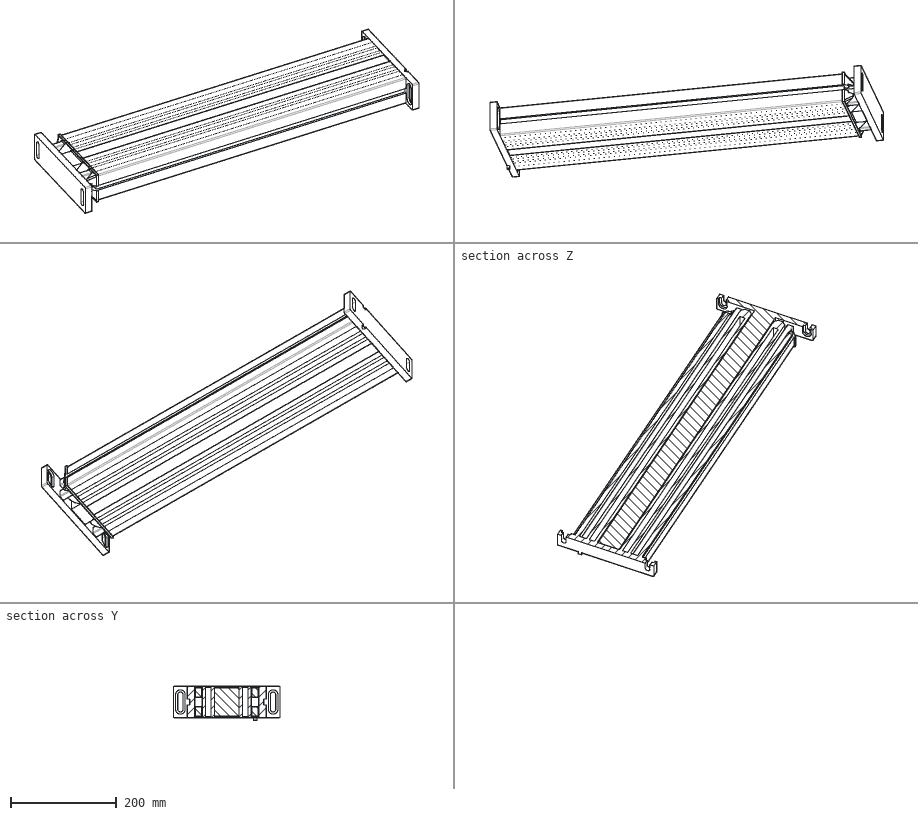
import cadquery as cq

total_length = 720.0
plate_width = 202.0
plate_height = 60.0
plate_thickness = 14.0
edge_radius = 2.0

slot_offset = 88.0
slot_width = 9.0
slot_height = 37.5
recess_margin = 4.0
recess_depth = 4.0

peg_x = 54.0
peg_radius = 3.5
peg_inset = 1.5
peg_length = 5.0
notch_depth = 4.0

sleeve_width = 150.0
sleeve_height = 59.0
collar_width = 153.0
collar_height = 63.0
collar_length = 4.0
collar_front = -322.5
nose_tip = -343.5
wall = 2.0
nose_corner_chamfer = 2.0
center_bay_width = 46.0
web_wall = 6.85
web_outer_x = 47.0
side_bay_outer_x = 60.5
strip_width = 24.0
strip_depth = 1.0
side_groove_height = 11.0
side_groove_depth = 4.0
nose_slot_height = 17.0
nose_slot_start = -328.0

bay_clearance = 1.0
arm_gap = 17.0
arm_edge_radius = 1.5

back_y = total_length / 2
front_y = -back_y
back_plate_face = back_y - plate_thickness
fascia_face = front_y + plate_thickness
collar_back = collar_front + collar_length
bay_half_height = sleeve_height / 2 - wall
nose_length = collar_front - nose_tip
web_inner_x = center_bay_width / 2


def box_between(x_range, y_range, z_range):
    """Axis-aligned block given by its limits along X, Y and Z."""
    size = [high - low for low, high in (x_range, y_range, z_range)]
    low_corner = (x_range[0], y_range[0], z_range[0])
    return cq.Workplane("XY").box(*size, centered=False).translate(low_corner)


def centered_bar(width, height, y_low, y_high):
    """Block centered on the Y axis, reaching from y_low to y_high."""
    return box_between((-width / 2, width / 2), (y_low, y_high), (-height / 2, height / 2))


def vertical_slot(x, width, height, y_low, y_high):
    """Upright round-ended slot cutter running along Y."""
    plane = cq.Workplane("XZ", origin=(x, y_high, 0))
    return plane.slot2D(height, width, 90).extrude(y_high - y_low)


def end_plate(y_low, recess_low):
    """Slotted plate; a counterbore starting at recess_low surrounds each slot."""
    y_high = y_low + plate_thickness
    plate = centered_bar(plate_width, plate_height, y_low, y_high).edges("|Y").fillet(edge_radius)
    for x in (-slot_offset, slot_offset):
        through = vertical_slot(x, slot_width, slot_height, y_low, y_high)
        recess = vertical_slot(
            x,
            slot_width + 2 * recess_margin,
            slot_height + 2 * recess_margin,
            recess_low,
            recess_low + recess_depth,
        )
        plate = plate.cut(through).cut(recess)
    return plate


def peg_rod(z_low, z_high):
    """Upright round rod, cut flat where it reaches the back face."""
    rod = cq.Workplane("XY", origin=(peg_x, back_y - peg_inset, z_low)).circle(peg_radius)
    reach = 2 * peg_radius
    in_front = box_between((peg_x - reach, peg_x + reach), (back_y - reach, back_y), (z_low, z_high))
    return rod.extrude(z_high - z_low).intersect(in_front)


def tapered_nose():
    """Frustum with 45 degree sides, narrowing from the collar to the tip."""
    return (
        cq.Workplane("XZ", origin=(0, collar_front, 0))
        .rect(sleeve_width, sleeve_height)
        .workplane(offset=nose_length)
        .rect(sleeve_width - 2 * nose_length, sleeve_height - 2 * nose_length)
        .loft(ruled=True)
        .edges("not(|X or |Z)")
        .chamfer(nose_corner_chamfer)
    )


def web_tip_bevels(side):
    """Cutters that bevel both flanks of one web at 45 degrees toward the nose tip."""
    bevel_start = nose_tip + web_wall
    wedges = []
    for outer_x, inner_x in (
        (web_outer_x, web_outer_x - web_wall),
        (web_inner_x, web_inner_x + web_wall),
    ):
        corner = [(side * outer_x, bevel_start), (side * outer_x, nose_tip), (side * inner_x, nose_tip)]
        wedge = cq.Workplane("XY", origin=(0, 0, -sleeve_height / 2)).polyline(corner).close()
        wedges.append(wedge.extrude(sleeve_height))
    return wedges


def make_housing():
    """Back plate, hollow sleeve, collar and nose in one piece."""
    sleeve = centered_bar(sleeve_width, sleeve_height, collar_front, back_plate_face)
    sleeve = sleeve.edges("|Y").fillet(edge_radius)
    collar = centered_bar(collar_width, collar_height, collar_front, collar_back)
    body = sleeve.union(collar).union(tapered_nose())

    bay_z = (-bay_half_height, bay_half_height)
    open_y = (nose_tip, back_plate_face)
    body = body.cut(centered_bar(center_bay_width, 2 * bay_half_height, *open_y))
    groove_y = (collar_front + collar_length / 2, back_plate_face)
    mouth_y = (nose_tip, groove_y[0])
    for side in (-1, 1):
        hollow_x = sorted((side * (web_inner_x + web_wall), side * (web_outer_x - web_wall)))
        arm_bay_x = sorted((side * web_outer_x, side * side_bay_outer_x))
        body = body.cut(box_between(hollow_x, groove_y, bay_z))
        body = body.cut(box_between(arm_bay_x, open_y, bay_z))
        for wedge in web_tip_bevels(side):
            body = body.cut(wedge)

        groove_half = side_groove_height / 2
        floor_x = sleeve_width / 2 - side_groove_depth
        outside_x = collar_width / 2
        groove_x = sorted((side * floor_x, side * outside_x))
        body = body.cut(box_between(groove_x, groove_y, (-groove_half, groove_half)))
        slot_x = sorted((side * web_outer_x, side * outside_x))
        body = body.cut(box_between(slot_x, mouth_y, (-groove_half, groove_half)))
        nose_slot_half = nose_slot_height / 2
        nose_slot_y = (nose_tip, nose_slot_start)
        body = body.cut(box_between(slot_x, nose_slot_y, (-nose_slot_half, nose_slot_half)))

        strip_half = strip_width / 2
        strip_y = (collar_back, back_plate_face)
        strip_z = sorted((side * (sleeve_height / 2 - strip_depth), side * sleeve_height / 2))
        body = body.cut(box_between((-strip_half, strip_half), strip_y, strip_z))

    plate = end_plate(back_plate_face, back_plate_face)
    plate = plate.cut(peg_rod(plate_height / 2 - notch_depth, plate_height / 2))
    peg = peg_rod(-plate_height / 2 - peg_length, 0)
    return body.union(plate).union(peg)


def make_slider():
    """Fascia plate with a center bar and four arms that run in the housing bays."""
    bar_y = (fascia_face, back_plate_face)
    bar_half_height = bay_half_height - bay_clearance
    slider = end_plate(front_y, fascia_face - recess_depth)
    bar = centered_bar(center_bay_width - 2 * bay_clearance, 2 * bar_half_height, *bar_y)
    slider = slider.union(bar)
    for side_x in (-1, 1):
        arm_x = sorted(
            (side_x * (web_outer_x + bay_clearance), side_x * (side_bay_outer_x - bay_clearance))
        )
        for side_z in (-1, 1):
            arm_z = sorted((side_z * arm_gap / 2, side_z * bar_half_height))
            arm = box_between(arm_x, bar_y, arm_z).edges("|Y").fillet(arm_edge_radius)
            slider = slider.union(arm)
    return slider


housing = make_housing()
slider = make_slider()
result = cq.Compound.makeCompound([housing.solids().val(), slider.solids().val()])